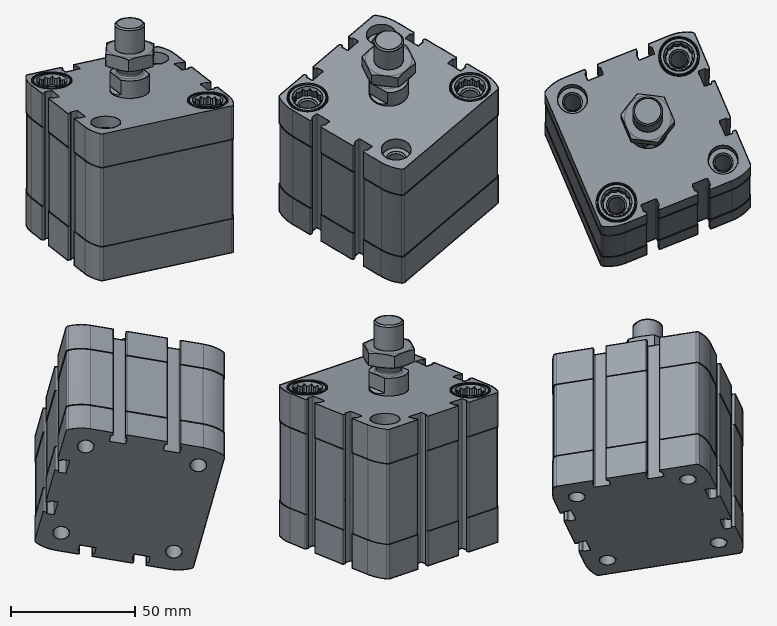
import cadquery as cq
import math


housing_width = 65.5
housing_height = 65.0
cap_height = 15.0
tube_inset = 0.3
hole_offset = 23.25
corner_arc_radius = 18.0
corner_edge_radius = 1.5

slot_offset = 11.15
slot_neck_width = 5.3
slot_width = 6.8
slot_depth = 4.8
slot_lip = 1.6
slot_edge_radius = 0.35

hole_diameter = 6.65
hole_mouth_diameter = 8.0
counterbore_diameter = 12.0
counterbore_depth = 5.0

head_recess_diameter = 16.4
head_diameter = 15.5
head_chamfer = 0.35
head_recess_depth = 1.0
socket_across_flats = 10.0
socket_core_diameter = 10.65
socket_mouth_diameter = 12.4
socket_cone_half_angle = 30.0
socket_depth = 4.5

rod_diameter = 16.0
thread_diameter = 12.0
thread_length = 22.0
rod_tip_z = 94.7
tip_diameter = 10.65
flats_width = 13.0
flats_bottom_z = housing_height + 1.3
flats_run_out_angle = 30.0
relief_diameter = 10.2
relief_length = 3.7
relief_straight_top = 1.3
relief_root_radius = 0.6
relief_blend_radius = 1.0
relief_cone_angle = 21.0

nut_across_flats = 19.0
nut_height = 6.0
nut_tip_gap = 11.0
nut_face_diameter = 18.7
nut_chamfer_angle = 15.0

hexagon_sides = 6
half_width = housing_width / 2
shoulder_z = rod_tip_z - thread_length


def housing_quarter(inset, height):
    """Prism over the +X +Y quarter of the housing profile, moved inward by inset."""
    side = half_width - inset
    big_radius = corner_arc_radius - inset
    edge_radius = corner_edge_radius - inset
    big_y = half_width - corner_arc_radius
    edge_x = half_width - corner_edge_radius
    center_distance = corner_arc_radius - corner_edge_radius
    center_angle = math.acos((edge_x - hole_offset) / center_distance)
    edge_y = big_y + center_distance * math.sin(center_angle)

    def on_big_arc(angle):
        return hole_offset + big_radius * math.cos(angle), big_y + big_radius * math.sin(angle)

    def on_edge_arc(angle):
        return edge_x + edge_radius * math.cos(angle), edge_y + edge_radius * math.sin(angle)

    return (
        cq.Workplane("XY")
        .lineTo(side, 0)
        .lineTo(side, edge_y)
        .threePointArc(on_edge_arc(center_angle / 2), on_edge_arc(center_angle))
        .threePointArc(on_big_arc((center_angle + math.pi / 2) / 2), (hole_offset, side))
        .lineTo(0, side)
        .close()
        .extrude(height)
    )


def housing_prism(inset, height):
    quarter = housing_quarter(inset, height)
    half = quarter.union(quarter.mirror("YZ"))
    return half.union(half.mirror("XZ")).clean()


def sensor_slot(offset, side_angle):
    """T-slot running the full height; a side angle of 0 puts it on the +X side."""
    neck = cq.Workplane("XY").box(slot_depth, slot_neck_width, housing_height, centered=(False, True, False))
    pocket = cq.Workplane("XY").box(
        slot_depth - slot_lip, slot_width, housing_height, centered=(False, True, False)
    )
    slot = neck.union(pocket).translate((half_width - slot_depth, offset, 0))
    return slot.rotate((0, 0, 0), (0, 0, 1), side_angle)


def is_slot_edge(edge):
    """Tell slot edges, near the middle of a side, from the edges of the rounded corners."""
    center = edge.Center()
    return min(abs(center.x), abs(center.y)) < slot_offset + slot_width


def housing_section(inset, bottom_z, height):
    """One length of the housing with slots on three sides and all slot edges rounded."""
    section = housing_prism(inset, height)
    for side_angle in (90, 180, 270):
        for offset in (-slot_offset, slot_offset):
            section = section.cut(sensor_slot(offset, side_angle))
    section = section.edges("|Z").filter(is_slot_edge).fillet(slot_edge_radius)
    return section.translate((0, 0, bottom_z))


def through_hole(floor_z):
    """Through hole with a 45 degree mouth below the floor at floor_z."""
    hole_radius = hole_diameter / 2
    mouth_radius = hole_mouth_diameter / 2
    mouth_depth = mouth_radius - hole_radius
    return (
        cq.Workplane("XZ")
        .lineTo(hole_radius, 0)
        .lineTo(hole_radius, floor_z - mouth_depth)
        .lineTo(mouth_radius, floor_z)
        .lineTo(0, floor_z)
        .close()
        .revolve(360, (0, 0, 0), (0, 1, 0))
    )


def counterbored_hole():
    floor_z = housing_height - counterbore_depth
    counterbore = (
        cq.Workplane("XY", origin=(0, 0, floor_z)).circle(counterbore_diameter / 2).extrude(counterbore_depth)
    )
    return through_hole(floor_z).union(counterbore)


def screw_socket():
    """Twelve-point socket with a round core and a conical mouth, above the through hole."""
    floor_z = housing_height - socket_depth
    corner_diameter = socket_across_flats / math.cos(math.pi / hexagon_sides)
    floor = cq.Workplane("XY", origin=(0, 0, floor_z))
    socket = floor.circle(socket_core_diameter / 2).extrude(socket_depth)
    hexagon = floor.polygon(hexagon_sides, corner_diameter).extrude(socket_depth)
    half_pitch = 180 / hexagon_sides
    socket = socket.union(hexagon).union(hexagon.rotate((0, 0, 0), (0, 0, 1), half_pitch))

    mouth_radius = socket_mouth_diameter / 2
    core_radius = socket_core_diameter / 2
    cone_depth = (mouth_radius - core_radius) / math.tan(math.radians(socket_cone_half_angle))
    cone = (
        cq.Workplane("XZ", origin=(0, 0, housing_height))
        .lineTo(mouth_radius, 0)
        .lineTo(core_radius, -cone_depth)
        .lineTo(0, -cone_depth)
        .close()
        .revolve(360, (0, 0, 0), (0, 1, 0))
    )
    return through_hole(floor_z).union(socket).union(cone)


def screw_head_gap():
    """Ring-shaped gap around a screw head, widened by the chamfer on the head's rim."""
    recess_floor = cq.Workplane("XY", origin=(0, 0, housing_height - head_recess_depth))
    recess = recess_floor.circle(head_recess_diameter / 2).extrude(head_recess_depth)
    head = recess_floor.circle(head_diameter / 2).extrude(head_recess_depth)
    return recess.cut(head.faces(">Z").chamfer(head_chamfer))


def make_housing():
    tube_height = housing_height - 2 * cap_height
    housing = housing_section(tube_inset, cap_height, tube_height)
    for cap_z in (0, housing_height - cap_height):
        housing = housing.union(housing_section(0, cap_z, cap_height))

    plain_hole = counterbored_hole()
    screw_hole = screw_socket().union(screw_head_gap())
    for side in (-1, 1):
        housing = housing.cut(screw_hole.translate((side * hole_offset, side * hole_offset, 0)))
        housing = housing.cut(plain_hole.translate((side * hole_offset, -side * hole_offset, 0)))
    return housing


def rod_flat():
    """Cutter for the wrench flat on the +Y side; its lower face slopes down and outward."""
    rod_radius = rod_diameter / 2
    run_out = (rod_radius - flats_width / 2) * math.tan(math.radians(flats_run_out_angle))
    return (
        cq.Workplane("YZ")
        .moveTo(flats_width / 2, flats_bottom_z)
        .lineTo(rod_radius, flats_bottom_z - run_out)
        .lineTo(rod_radius, shoulder_z)
        .lineTo(flats_width / 2, shoulder_z)
        .close()
        .extrude(rod_radius, both=True)
    )


def make_rod():
    thread_radius = thread_diameter / 2
    tip_radius = tip_diameter / 2
    relief_radius = relief_diameter / 2
    root_center = (relief_radius + relief_root_radius, shoulder_z + relief_root_radius)
    root_middle = (
        root_center[0] - relief_root_radius * math.cos(math.pi / 4),
        root_center[1] - relief_root_radius * math.sin(math.pi / 4),
    )
    blend_center = (relief_radius + relief_blend_radius, shoulder_z + relief_straight_top)

    def on_blend(angle):
        return (
            blend_center[0] - relief_blend_radius * math.cos(angle),
            blend_center[1] + relief_blend_radius * math.sin(angle),
        )

    cone_angle = math.radians(relief_cone_angle)
    rod = (
        cq.Workplane("XZ")
        .moveTo(0, housing_height)
        .lineTo(rod_diameter / 2, housing_height)
        .lineTo(rod_diameter / 2, shoulder_z)
        .lineTo(root_center[0], shoulder_z)
        .threePointArc(root_middle, (relief_radius, root_center[1]))
        .lineTo(relief_radius, blend_center[1])
        .threePointArc(on_blend(cone_angle / 2), on_blend(cone_angle))
        .lineTo(thread_radius, shoulder_z + relief_length)
        .lineTo(thread_radius, rod_tip_z - (thread_radius - tip_radius))
        .lineTo(tip_radius, rod_tip_z)
        .lineTo(0, rod_tip_z)
        .close()
        .revolve(360, (0, 0, 0), (0, 1, 0))
    )
    flat = rod_flat()
    return rod.cut(flat).cut(flat.mirror("XZ"))


def make_nut():
    """Hexagon nut with its corners toward +Y and -Y, both faces chamfered."""
    corner_radius = nut_across_flats / 2 / math.cos(math.pi / hexagon_sides)
    face_radius = nut_face_diameter / 2
    chamfer_height = (corner_radius - face_radius) * math.tan(math.radians(nut_chamfer_angle))
    chamfered_blank = (
        cq.Workplane("XZ")
        .lineTo(face_radius, 0)
        .lineTo(corner_radius, chamfer_height)
        .lineTo(corner_radius, nut_height - chamfer_height)
        .lineTo(face_radius, nut_height)
        .lineTo(0, nut_height)
        .close()
        .revolve(360, (0, 0, 0), (0, 1, 0))
    )
    hexagon = (
        cq.Workplane("XY")
        .polygon(hexagon_sides, 2 * corner_radius)
        .circle(thread_diameter / 2)
        .extrude(nut_height)
        .rotate((0, 0, 0), (0, 0, 1), 90)
    )
    return hexagon.intersect(chamfered_blank).translate((0, 0, rod_tip_z - nut_tip_gap - nut_height))


housing = make_housing()
rod = make_rod()
nut = make_nut()

result = cq.Compound.makeCompound([housing.val(), rod.val(), nut.val()])